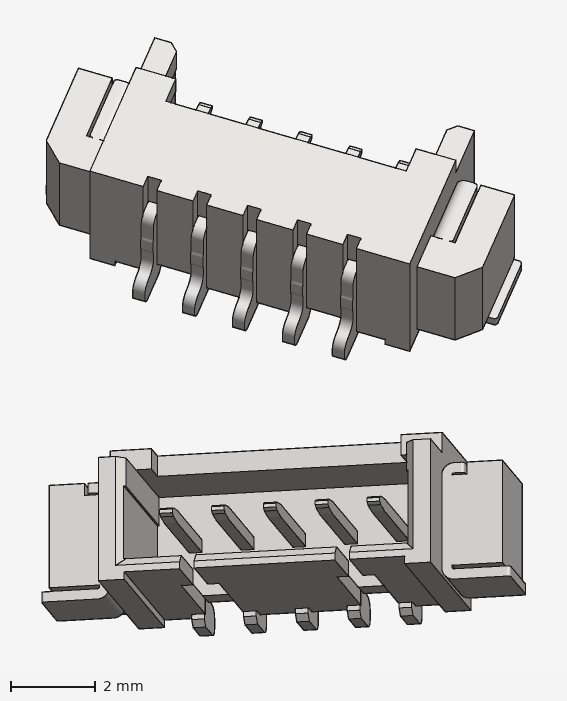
import cadquery as cq
import math


body_half = 4.0
body_depth = 4.51
body_top = 3.6
body_bottom = 0.28
foot_bottom = 0.1
wall = 0.62
inner_half = body_half - wall

cavity_rear = 0.62
cavity_floor = 0.65
cavity_ceiling = 3.11
roof_front = 3.21
roof_notch_rear = 2.52
roof_notch_half = 3.01
mouth_chamfer = 0.2
recess_depth = 0.05
recess_top = 2.42

pin_count = 5
pitch = 1.249
pin_width = 0.3
groove_width = 0.34
groove_depth = 0.32
pin_z = 1.86
pin_half_height = pin_width / 2
pin_end = 3.92
pin_positions = [(i - (pin_count - 1) / 2) * pitch for i in range(pin_count)]

window_half = (pitch - groove_width) / 2
window_x = (pin_count / 2 - 1) * pitch
window_front = 3.0
slot_inner = 1.7
slot_width = 0.35

ear_half = 5.46
ear_rear = 0.51
ear_front = 3.25
ear_bottom = 0.34
ear_top = 2.84
ear_chamfer = 0.51

clip_thickness = 0.25
clip_bend = 0.29
clip_rear = 1.47
clip_tab_end = 5.65
clip_flange_end = 4.54
clip_corner = 0.08
clip_gap = 0.07


def block(x0, x1, y0, y1, z0, z1):
    """Axis-aligned box between opposite corners."""
    return cq.Workplane("XY").box(x1 - x0, y1 - y0, z1 - z0, centered=False).translate((x0, y0, z0))


def both_sides(shape):
    """A shape together with its mirror image across X = 0."""
    return shape.union(shape.mirror("YZ"))


def arc_point(center, radius, degrees):
    """Point on a circle at the given angle."""
    angle = math.radians(degrees)
    return (center[0] + radius * math.cos(angle), center[1] + radius * math.sin(angle))


def make_cavity():
    main = block(-inner_half, inner_half, cavity_rear, body_depth, cavity_floor, cavity_ceiling)
    recess_half = inner_half + recess_depth
    recess = block(-recess_half, recess_half, cavity_rear, body_depth, cavity_floor, recess_top)

    flare_start = body_depth - mouth_chamfer
    flare_half = inner_half + mouth_chamfer
    wall_flare = (
        cq.Workplane("XY", origin=(0, 0, cavity_floor - mouth_chamfer))
        .polyline([
            (-inner_half, flare_start),
            (inner_half, flare_start),
            (flare_half, body_depth),
            (-flare_half, body_depth),
        ])
        .close()
        .extrude(body_top)
    )
    floor_flare = (
        cq.Workplane("YZ", origin=(-flare_half, 0, 0))
        .polyline([
            (flare_start, cavity_floor),
            (body_depth, cavity_floor - mouth_chamfer),
            (body_depth, body_top),
            (flare_start, body_top),
        ])
        .close()
        .extrude(2 * flare_half)
    )
    return main.union(recess).union(wall_flare.intersect(floor_flare))


def make_housing():
    housing = block(-body_half, body_half, 0, body_depth, foot_bottom, body_top)
    housing = housing.cut(block(-inner_half, inner_half, 0, body_depth, foot_bottom, body_bottom))
    housing = housing.cut(block(-body_half, body_half, roof_front, body_depth, cavity_ceiling, body_top))
    housing = housing.cut(make_cavity())
    roof_notch = block(
        -roof_notch_half, roof_notch_half, roof_notch_rear, roof_front, cavity_ceiling, body_top
    )
    housing = housing.cut(roof_notch)

    for x in pin_positions:
        groove_left = x - groove_width / 2
        groove = block(groove_left, groove_left + groove_width, 0, groove_depth, body_bottom, body_top)
        housing = housing.cut(groove)

    window = block(
        window_x - window_half, window_x + window_half, 0, window_front, body_bottom, cavity_floor
    )
    slot = block(
        slot_inner, slot_inner + slot_width, window_front, body_depth, body_bottom, cavity_floor
    )
    return housing.cut(both_sides(window.union(slot)))


def make_ear():
    ear = (
        block(body_half, ear_half, ear_rear, ear_front, ear_bottom, ear_top)
        .edges("|Z and >X and <Y")
        .chamfer(ear_chamfer)
    )
    pocket_end = clip_flange_end + clip_gap
    pocket = block(body_half, pocket_end, clip_rear, ear_front, ear_top - clip_bend, ear_top)
    return ear.cut(pocket)


def make_clip():
    """C-shaped strip: a leg along the housing, a flange over the ear and a solder tab below it."""
    leg_inner = body_half + clip_thickness
    clip = block(body_half, clip_tab_end, clip_rear, ear_front, 0, ear_top)
    clip = clip.edges("|Y and <X").fillet(clip_bend)
    opening = block(
        leg_inner, clip_tab_end, clip_rear, ear_front, clip_thickness, ear_top - clip_thickness
    )
    opening = opening.edges("|Y and <X").fillet(clip_bend - clip_thickness)
    flange_trim = block(
        clip_flange_end, clip_tab_end, clip_rear, ear_front, ear_top - clip_thickness, ear_top
    )
    clip = clip.cut(opening).cut(flange_trim)
    free_ends = clip.faces(">X").edges("|Z").vals() + clip.edges("|Z").edges(">Z").vals()
    return clip.newObject(free_ends).fillet(clip_corner)


def make_pin(x):
    """Flat blade in a YZ plane: contact finger, rear plate and rounded solder tail."""
    plate_rear = -0.19
    plate_front = 0.37
    plate_top = 2.62
    top_radius = 0.28
    top_center = (plate_rear + top_radius, plate_top - top_radius)

    band_rear = -0.23
    band_middle = (plate_rear + band_rear) / 2
    band_bottom = 1.37
    band_top = 1.81
    blend_half = 0.07

    bend_radius = 0.29
    bend_top = 1.03
    slope_degrees = 10
    tail_end = -0.79
    toe_radius = 0.25
    heel_chamfer = 0.16
    bend_center = (plate_rear - bend_radius, bend_top)
    slope_start = arc_point(bend_center, bend_radius, -90 + slope_degrees)
    tip_y = tail_end + bend_radius
    slope_end_y = arc_point((tip_y, 0), bend_radius, 90 + slope_degrees)[0]
    slope_drop = (slope_start[0] - slope_end_y) * math.tan(math.radians(slope_degrees))
    slope_end_z = slope_start[1] - slope_drop
    tip_center = (tip_y, slope_end_z - bend_radius * math.cos(math.radians(slope_degrees)))
    toe_center = (tail_end + toe_radius, toe_radius)

    plate = (
        cq.Workplane("YZ", origin=(x - pin_width / 2, 0, 0))
        .moveTo(plate_front, plate_top)
        .lineTo(top_center[0], plate_top)
        .threePointArc(arc_point(top_center, top_radius, 135), (plate_rear, top_center[1]))
        .lineTo(plate_rear, band_top + blend_half)
        .tangentArcPoint((band_middle, band_top), relative=False)
        .tangentArcPoint((band_rear, band_top - blend_half), relative=False)
        .lineTo(band_rear, band_bottom + blend_half)
        .tangentArcPoint((band_middle, band_bottom), relative=False)
        .tangentArcPoint((plate_rear, band_bottom - blend_half), relative=False)
        .lineTo(plate_rear, bend_top)
        .threePointArc(arc_point(bend_center, bend_radius, -45), slope_start)
        .lineTo(slope_end_y, slope_end_z)
        .threePointArc(arc_point(tip_center, bend_radius, 135), (tail_end, tip_center[1]))
        .lineTo(tail_end, toe_radius)
        .threePointArc(arc_point(toe_center, toe_radius, 225), (toe_center[0], 0))
        .lineTo(plate_front - heel_chamfer, 0)
        .lineTo(plate_front, heel_chamfer)
        .close()
        .extrude(pin_width)
    )

    taper_start = 3.4
    taper_end = 3.81
    taper_half_height = 0.1
    tip_half_height = 0.05
    finger_outline = [
        (0, pin_half_height),
        (taper_start, pin_half_height),
        (taper_end, taper_half_height),
        (pin_end, tip_half_height),
    ]
    upper = [(y, pin_z + h) for y, h in finger_outline]
    lower = [(y, pin_z - h) for y, h in reversed(finger_outline)]
    finger = (
        cq.Workplane("YZ", origin=(x - pin_width / 2, 0, 0))
        .polyline(upper + lower)
        .close()
        .extrude(pin_width)
    )
    return plate.union(finger)


result = make_housing().union(both_sides(make_ear().union(make_clip())))
for pin_x in pin_positions:
    result = result.union(make_pin(pin_x))